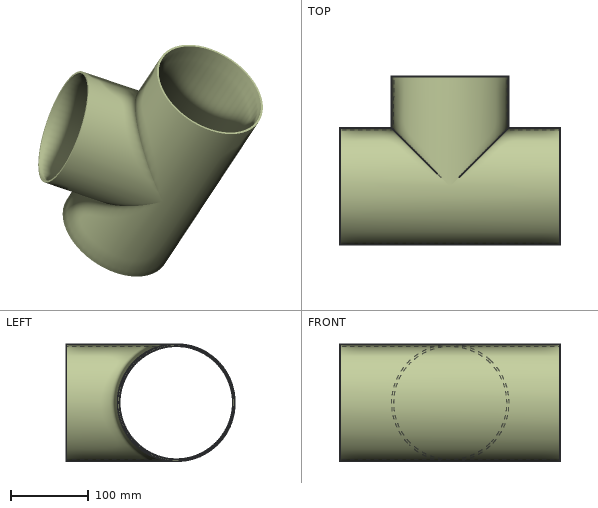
import cadquery as cq

run_length = 285.8
outer_diameter = 152.3
bore_diameter = 147.0
branch_reach = run_length / 2


def tee_of_cylinders(diameter):
    """Join a run cylinder and a branch cylinder of equal diameter."""
    run = cq.Workplane("YZ").circle(diameter / 2).extrude(run_length / 2, both=True)
    branch = cq.Workplane("XZ").circle(diameter / 2).extrude(-branch_reach)
    return run.union(branch)


result = tee_of_cylinders(outer_diameter).cut(tee_of_cylinders(bore_diameter))